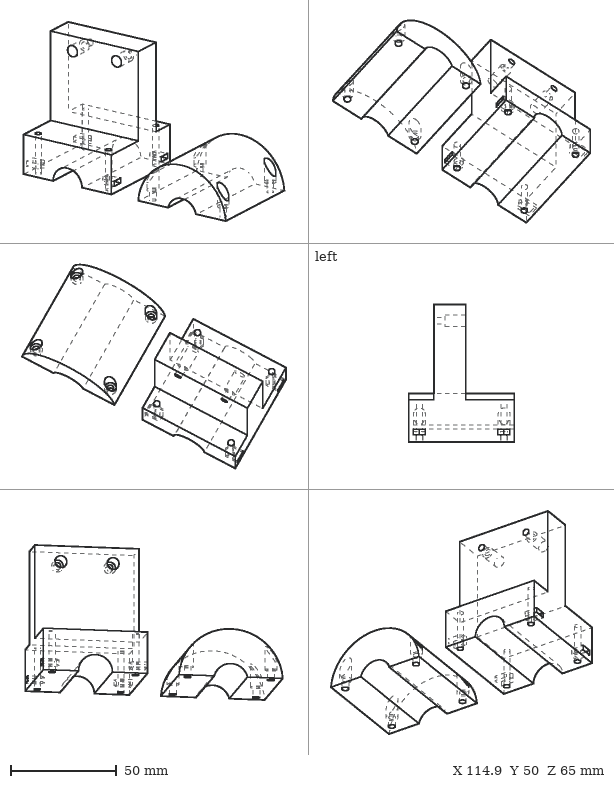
import cadquery as cq
import math

side = 50.0
base_height = 20.0
wall_thickness = 15.0
wall_back_setback = 12.0
total_height = 65.0

channel_radius = 8.2

screw_spacing = 40.0
tapping_diameter = 3.0
clearance_diameter = 3.2
head_diameter = 5.6
screw_points = [
    (x * screw_spacing / 2, y * screw_spacing / 2)
    for x in (-1, 1)
    for y in (-1, 1)
]

nut_flats = 5.6
nut_slot_height = 2.5
nut_slot_floor = 3.5
nut_corners = nut_flats / math.cos(math.pi / 6)

mount_spacing = 25.0
mount_height = 57.5
mount_diameter = 3.2
mount_head_depth = 10.0

cap_radius = side / 2
cap_axis_drop = 2.0
cap_half_width = math.sqrt(cap_radius**2 - cap_axis_drop**2)
cap_head_floor = 5.0
overall_length = 114.9
cap_center_x = overall_length - side / 2 - cap_half_width


def lengthwise_cylinder(radius, axis_z):
    """Cylinder along Y, as long as the bodies."""
    return (
        cq.Workplane("XZ")
        .center(0, axis_z)
        .circle(radius)
        .extrude(side / 2, both=True)
    )


def nut_slots():
    """Four slots open at the ends of the base, each closed by a hexagon around its screw."""
    slots = cq.Workplane("XY", origin=(0, 0, nut_slot_floor))
    slots = slots.pushPoints(screw_points).polygon(6, nut_corners).extrude(nut_slot_height)
    entry_length = (side - screw_spacing) / 2
    entry_offset = side / 2 - entry_length / 2
    entry_points = [
        (math.copysign(entry_offset, x), y)
        for x, y in screw_points
    ]
    entries = (
        cq.Workplane("XY", origin=(0, 0, nut_slot_floor))
        .pushPoints(entry_points)
        .rect(entry_length, nut_flats)
        .extrude(nut_slot_height)
    )
    return slots.union(entries)


def make_bracket():
    base = cq.Workplane("XY").box(side, side, base_height, centered=(True, True, False))
    wall_back = side / 2 - wall_back_setback
    wall_front = wall_back - wall_thickness
    wall = (
        cq.Workplane("XY", origin=(0, wall_front, 0))
        .box(side, wall_thickness, total_height, centered=(True, False, False))
    )
    screw_holes = (
        cq.Workplane("XY")
        .pushPoints(screw_points)
        .circle(tapping_diameter / 2)
        .extrude(base_height)
    )
    channel = lengthwise_cylinder(channel_radius, 0)
    body = base.union(wall).cut(channel).cut(screw_holes).cut(nut_slots())

    return (
        body.copyWorkplane(cq.Workplane("XZ", origin=(0, wall_front, mount_height)))
        .pushPoints([(-mount_spacing / 2, 0), (mount_spacing / 2, 0)])
        .cboreHole(mount_diameter, head_diameter, mount_head_depth)
    )


def make_cap():
    blank = cq.Workplane("XY").box(side, side, side, centered=(True, True, False))
    body = blank.intersect(lengthwise_cylinder(cap_radius, -cap_axis_drop))
    body = body.cut(lengthwise_cylinder(channel_radius, -cap_axis_drop))
    screw_holes = (
        cq.Workplane("XY")
        .pushPoints(screw_points)
        .circle(clearance_diameter / 2)
        .extrude(cap_radius)
    )
    head_recesses = (
        cq.Workplane("XY", origin=(0, 0, cap_head_floor))
        .pushPoints(screw_points)
        .circle(head_diameter / 2)
        .extrude(cap_radius)
    )
    return body.cut(screw_holes).cut(head_recesses).translate((cap_center_x, 0, 0))


bracket = make_bracket()
cap = make_cap()

result = cq.Compound.makeCompound([bracket.solids().val(), cap.solids().val()])